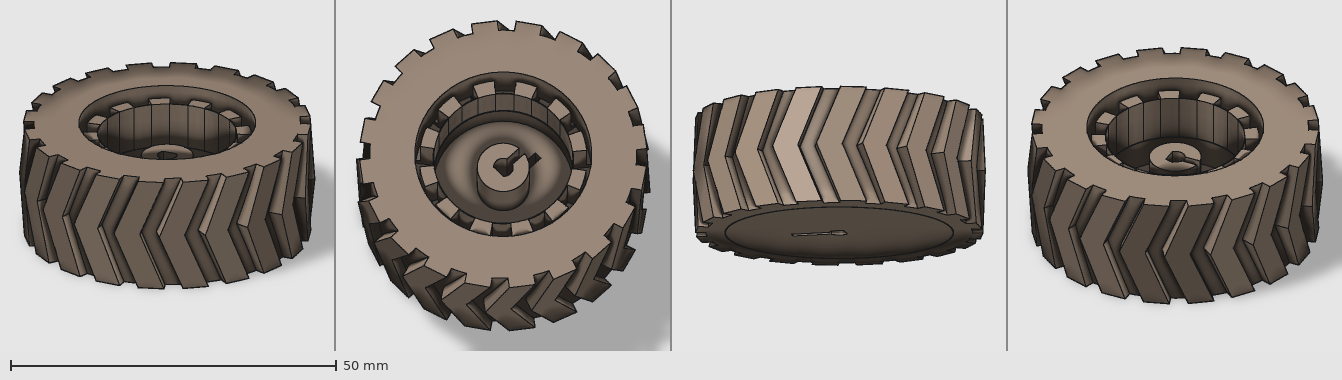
import cadquery as cq
import math

tire_width = 18.0
mid_height = tire_width / 2
carcass_radius = 20.5
block_count = 20
block_pitch = 360 / block_count
block_width = 4.0
block_face_distance = 22.0
block_root_distance = 19.0
chevron_angle = 22.5
chevron_shift = mid_height * math.tan(math.radians(chevron_angle))

clearance = 0.1
shoulder_slope = math.tan(math.radians(15.0))

wheel_radius = 35.0 / 2
lower_bore_radius = 21.6 / 2
upper_bore_radius = 21.4 / 2
floor_thickness = 4.5
crown_top = 16.2
finger_count = 12
finger_pitch = 360 / finger_count
finger_gap_angle = finger_pitch / 2
finger_outer_radius = 12.9
shoulder_top = mid_height + shoulder_slope * (wheel_radius - finger_outer_radius)
gap_floor = mid_height

hub_radius = 4.0
hub_top = 12.5
axle_radius = 1.5
axle_flat = 1.0
slot_width = 1.2
slot_length = 7.4

tire_bore_radius = wheel_radius + clearance
lip_radius = 27.2 / 2
lip_bottom = mid_height + clearance
lip_edge = lip_bottom + shoulder_slope * (tire_bore_radius - lip_radius)


def turned(profile, angle=360):
    """Revolve a closed (radius, height) profile about the Z axis."""
    return cq.Workplane("XZ").polyline(profile).close().revolve(angle, (0, 0), (0, 1))


def around_z(shape, angle):
    return shape.rotate((0, 0, 0), (0, 0, 1), angle)


def block_section(height, shift):
    """Rectangular tread block outline at one height, shifted sideways along X."""
    left = shift - block_width / 2
    right = shift + block_width / 2
    corners = [
        (left, block_root_distance),
        (right, block_root_distance),
        (right, block_face_distance),
        (left, block_face_distance),
    ]
    return cq.Wire.makePolygon([cq.Vector(x, y, height) for x, y in corners], close=True)


def half_block(end_height):
    """Half of a chevron block, leaning from the mid-plane to one side face of the tire."""
    sections = [block_section(mid_height, chevron_shift), block_section(end_height, 0)]
    return cq.Workplane(obj=cq.Solid.makeLoft(sections, True))


def make_tire():
    body = cq.Workplane("XY").circle(carcass_radius).extrude(tire_width)
    block = half_block(0).union(half_block(tire_width))
    for i in range(block_count):
        body = body.union(around_z(block, i * block_pitch))
    opening = turned([
        (0, 0),
        (tire_bore_radius, 0),
        (tire_bore_radius, lip_bottom),
        (lip_radius, lip_edge),
        (lip_radius, tire_width),
        (0, tire_width),
    ])
    return body.cut(opening)


def finger_gap():
    """Ring sector between two fingers, centred one half pitch from the first finger."""
    gap_outer_radius = wheel_radius + clearance
    sector = turned(
        [
            (lower_bore_radius, gap_floor),
            (gap_outer_radius, gap_floor),
            (gap_outer_radius, tire_width),
            (lower_bore_radius, tire_width),
        ],
        finger_gap_angle,
    )
    return around_z(sector, finger_gap_angle / 2)


def axle_bore():
    """Round bore with a flat on its +Y side."""
    flat_side = (
        cq.Workplane("XY")
        .center(0, axle_flat - axle_radius)
        .rect(2 * axle_radius, 2 * axle_radius)
        .extrude(hub_top)
    )
    return cq.Workplane("XY").circle(axle_radius).extrude(hub_top).intersect(flat_side)


def hub_slot():
    """Slot from the axle centre toward -Y, through the hub and the floor."""
    return cq.Workplane("XY").center(0, -slot_length / 2).rect(slot_width, slot_length).extrude(hub_top)


def make_wheel():
    body = turned([
        (0, 0),
        (wheel_radius, 0),
        (wheel_radius, mid_height),
        (finger_outer_radius, shoulder_top),
        (finger_outer_radius, crown_top),
        (upper_bore_radius, crown_top),
        (upper_bore_radius, mid_height),
        (lower_bore_radius, mid_height),
        (lower_bore_radius, floor_thickness),
        (hub_radius, floor_thickness),
        (hub_radius, hub_top),
        (0, hub_top),
    ])
    gap = finger_gap()
    for i in range(finger_count):
        body = body.cut(around_z(gap, i * finger_pitch))
    return body.cut(axle_bore()).cut(hub_slot())


tire = make_tire().solids()
wheel = make_wheel().solids()

result = cq.Compound.makeCompound([tire.val(), wheel.val()])